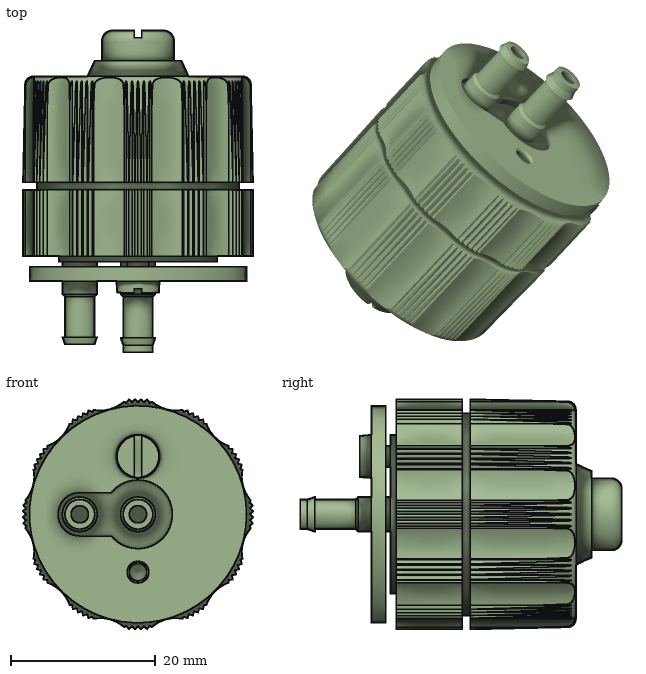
import cadquery as cq
import math


LOBE_COUNT = 12
LOBE_PITCH = 360 / LOBE_COUNT
GROOVES_PER_LOBE = 5
GROOVE_PITCH = 3.0
CREST_RADIUS = 15.92
GROOVE_ROOT_RADIUS = 15.5
FLUTE_EDGE_RADIUS = 15.7
FLUTE_EDGE_ANGLE = 7.0
FLUTE_RADIUS = 15.05
FRONT_RING_LENGTH = 9.15
NECK_DIAMETER = 28.0
NECK_LENGTH = 1.05
REAR_RING_LENGTH = 14.65
RIM_RADIUS = 15.6
RIM_FILLET = 1.2

CONE_BASE_DIAMETER = 14.0
CONE_TOP_DIAMETER = 12.0
CONE_LENGTH = 2.15
CAP_DIAMETER = 10.0
CAP_LENGTH = 4.2
CAP_FILLET = 1.5
CAP_SLOT_WIDTH = 1.0
CAP_SLOT_DEPTH = 1.0

SHOULDER_DIAMETER = 21.95
SHOULDER_LENGTH = 0.8
PLATE_GAP = 0.65
PLATE_DIAMETER = 30.0
PLATE_THICKNESS = 2.0
SCREW_OFFSET = 8.0
SIDE_PORT_OFFSET = 8.05

POCKET_DEPTH = 1.0
POCKET_ROUND_DIAMETER = 9.5
POCKET_ARM_WIDTH = 6.0

SCREW_SHANK_DIAMETER = 3.0
SCREW_HEAD_DIAMETER = 6.0
SCREW_HEAD_FRONT_DIAMETER = 5.8
SCREW_HEAD_LENGTH = 1.6
SCREW_SLOT_WIDTH = 1.0
SCREW_SLOT_DEPTH = 0.5
HOLE_DIAMETER = 2.46
HOLE_MOUTH_DIAMETER = 3.0
HOLE_DEPTH = 1.0
DRILL_TIP_ANGLE = 118.0

PORT_DIAMETER = 4.8
PORT_BASE_LENGTH = 1.8
HOSE_DIAMETER = 4.1
PORT_SHOULDER_CHAMFER = (PORT_DIAMETER - HOSE_DIAMETER) / 2
BORE_DIAMETER = 2.4
BARB_LENGTH = 1.0
SIDE_BARB_START = 7.75
CENTRE_BARB_START = 7.85
CENTRE_TIP_LENGTH = 1.0

neck_front = FRONT_RING_LENGTH
neck_rear = neck_front + NECK_LENGTH
grip_rear = neck_rear + REAR_RING_LENGTH
cone_rear = grip_rear + CONE_LENGTH
cap_rear = cone_rear + CAP_LENGTH
shoulder_front = -SHOULDER_LENGTH
plate_rear = shoulder_front - PLATE_GAP
plate_front = plate_rear - PLATE_THICKNESS


def revolve_about_y(profile):
    return profile.close().revolve(360, (0, 0, 0), (0, 1, 0))


def cylinder(diameter, y_start, y_end, x=0, z=0):
    """Cylinder along Y between two stations."""
    base = cq.Workplane("XZ", origin=(x, y_start, z)).circle(diameter / 2)
    return base.extrude(y_start - y_end)


def polar(radius, angle):
    angle = math.radians(angle)
    return (radius * math.cos(angle), radius * math.sin(angle))


def grip_ring(y_start, y_end):
    """Ring with twelve knurled lobes separated by round flutes."""
    first_groove = -(GROOVES_PER_LOBE - 1) * GROOVE_PITCH / 2
    outline = cq.Workplane("XZ", origin=(0, y_start, 0))
    outline = outline.moveTo(*polar(FLUTE_EDGE_RADIUS, -FLUTE_EDGE_ANGLE))
    for lobe in range(LOBE_COUNT):
        lobe_angle = lobe * LOBE_PITCH
        for groove in range(GROOVES_PER_LOBE):
            groove_angle = lobe_angle + first_groove + groove * GROOVE_PITCH
            if groove > 0:
                outline = outline.lineTo(*polar(CREST_RADIUS, groove_angle - GROOVE_PITCH / 2))
            outline = outline.lineTo(*polar(GROOVE_ROOT_RADIUS, groove_angle))
        outline = outline.lineTo(*polar(FLUTE_EDGE_RADIUS, lobe_angle + FLUTE_EDGE_ANGLE))
        flute_middle = polar(FLUTE_RADIUS, lobe_angle + LOBE_PITCH / 2)
        next_lobe = polar(FLUTE_EDGE_RADIUS, lobe_angle + LOBE_PITCH - FLUTE_EDGE_ANGLE)
        outline = outline.threePointArc(flute_middle, next_lobe)
    return outline.close().extrude(y_start - y_end)


def rear_ring_envelope():
    """Tapered round with a filleted rear rim that trims the rear ring."""
    blank = revolve_about_y(
        cq.Workplane("XY")
        .moveTo(0, neck_rear)
        .lineTo(CREST_RADIUS, neck_rear)
        .lineTo(RIM_RADIUS, grip_rear)
        .lineTo(0, grip_rear)
    )
    return blank.faces(">Y").edges().fillet(RIM_FILLET)


def make_grip():
    front_ring = grip_ring(0, neck_front)
    neck = cylinder(NECK_DIAMETER, neck_front, neck_rear)
    rear_ring = grip_ring(neck_rear, grip_rear).intersect(rear_ring_envelope())
    return front_ring.union(neck).union(rear_ring)


def make_cap():
    cone = revolve_about_y(
        cq.Workplane("XY")
        .moveTo(0, grip_rear)
        .lineTo(CONE_BASE_DIAMETER / 2, grip_rear)
        .lineTo(CONE_TOP_DIAMETER / 2, cone_rear)
        .lineTo(0, cone_rear)
    )
    cap = cylinder(CAP_DIAMETER, cone_rear, cap_rear).faces(">Y").edges().fillet(CAP_FILLET)
    slot = cq.Workplane("XY").box(CAP_SLOT_WIDTH, 2 * CAP_SLOT_DEPTH, CAP_DIAMETER)
    return cone.union(cap.cut(slot.translate((0, cap_rear, 0))))


def keyhole_pocket():
    pocket_floor = plate_front + POCKET_DEPTH
    round_end = cylinder(POCKET_ROUND_DIAMETER, plate_front, pocket_floor)
    arm_end = cylinder(POCKET_ARM_WIDTH, plate_front, pocket_floor, x=-SIDE_PORT_OFFSET)
    arm = (
        cq.Workplane("XZ", origin=(-SIDE_PORT_OFFSET / 2, plate_front, 0))
        .rect(SIDE_PORT_OFFSET, POCKET_ARM_WIDTH)
        .extrude(-POCKET_DEPTH)
    )
    return round_end.union(arm_end).union(arm)


def blind_hole():
    """Drilled hole with a chamfered mouth and a conical bottom."""
    radius = HOLE_DIAMETER / 2
    mouth_radius = HOLE_MOUTH_DIAMETER / 2
    tip_length = radius / math.tan(math.radians(DRILL_TIP_ANGLE / 2))
    hole = revolve_about_y(
        cq.Workplane("XY")
        .moveTo(0, plate_front)
        .lineTo(mouth_radius, plate_front)
        .lineTo(radius, plate_front + mouth_radius - radius)
        .lineTo(radius, plate_front + HOLE_DEPTH)
        .lineTo(0, plate_front + HOLE_DEPTH + tip_length)
    )
    return hole.translate((0, 0, -SCREW_OFFSET))


def make_front_plate():
    shoulder = cylinder(SHOULDER_DIAMETER, 0, shoulder_front)
    plate = cylinder(PLATE_DIAMETER, plate_rear, plate_front)
    return plate.cut(keyhole_pocket()).cut(blind_hole()).union(shoulder)


def make_screw():
    head_front = plate_front - SCREW_HEAD_LENGTH
    shank = cylinder(SCREW_SHANK_DIAMETER, shoulder_front, plate_front, z=SCREW_OFFSET)
    head = revolve_about_y(
        cq.Workplane("XY")
        .moveTo(0, plate_front)
        .lineTo(SCREW_HEAD_DIAMETER / 2, plate_front)
        .lineTo(SCREW_HEAD_FRONT_DIAMETER / 2, head_front)
        .lineTo(0, head_front)
    ).translate((0, 0, SCREW_OFFSET))
    slot = cq.Workplane("XY").box(SCREW_SLOT_WIDTH, 2 * SCREW_SLOT_DEPTH, SCREW_HEAD_DIAMETER)
    return shank.union(head.cut(slot.translate((0, head_front, SCREW_OFFSET))))


def make_port(x, barb_start, tip_length):
    """Stepped tube with a hose barb; a plain tip may follow the barb."""
    base_end = plate_front - PORT_BASE_LENGTH
    barb_rear = plate_front - barb_start
    barb_front = barb_rear - BARB_LENGTH
    outline = (
        cq.Workplane("XY")
        .moveTo(0, shoulder_front)
        .lineTo(PORT_DIAMETER / 2, shoulder_front)
        .lineTo(PORT_DIAMETER / 2, base_end)
        .lineTo(HOSE_DIAMETER / 2, base_end - PORT_SHOULDER_CHAMFER)
        .lineTo(HOSE_DIAMETER / 2, barb_rear)
        .lineTo(PORT_DIAMETER / 2, barb_rear)
        .lineTo(HOSE_DIAMETER / 2, barb_front)
    )
    if tip_length > 0:
        outline = outline.lineTo(HOSE_DIAMETER / 2, barb_front - tip_length)
    outline = outline.lineTo(0, barb_front - tip_length)
    return revolve_about_y(outline).translate((x, 0, 0))


def port_bore(x, barb_start, tip_length):
    """Bore from the port mouth to the rear face of the plate."""
    mouth = plate_front - barb_start - BARB_LENGTH - tip_length
    return cylinder(BORE_DIAMETER, mouth, plate_rear, x=x)


PORTS = (
    (0, CENTRE_BARB_START, CENTRE_TIP_LENGTH),
    (-SIDE_PORT_OFFSET, SIDE_BARB_START, 0),
)

result = make_grip().union(make_cap()).union(make_front_plate()).union(make_screw())
for port in PORTS:
    result = result.union(make_port(*port)).cut(port_bore(*port))